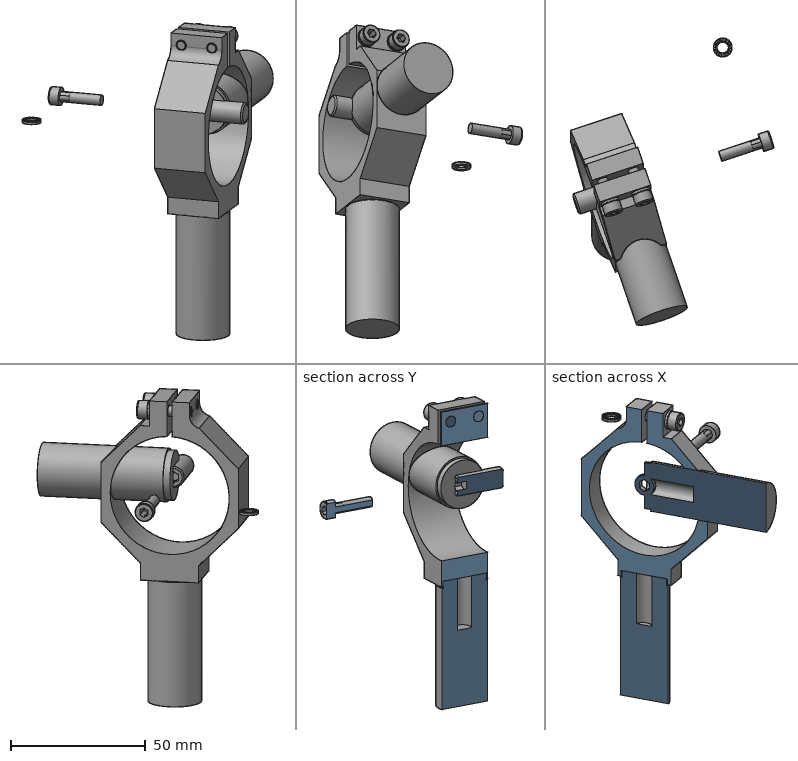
import cadquery as cq
import math


post_diameter = 20.0
post_length = 50.1
spigot_diameter = 18.7
spigot_length = 2.6
post_hole_diameter = 6.6
post_hole_depth = 20.0

ring_width = post_diameter
bore_diameter = 45.0
bore_center_z = -5.4
octagon_half_width = 26.0
side_flat_half_height = 11.4
foot_width = 22.0
foot_bottom_z = -38.2
top_z = 30.4
slot_width = 2.0
rear_ear_y = 7.7
front_ear_y = -7.5
shoulder_z = 20.8
ear_round_top_z = 25.6
recess_diameter = 19.0
foot_gap = 0.3

passage_diameter = 19.8

shank_diameter = 4.0
shank_length = 16.0
head_diameter = 6.9
head_height = 4.0
head_chamfer_length = 0.5
head_chamfer_depth = 0.2
cap_hex_flats = 3.0
cap_hex_depth = 7.6

washer_outer_diameter = 7.0
washer_inner_diameter = 4.2
washer_thickness = 1.0
washer_groove_count = 16
washer_groove_width = 0.5
washer_groove_depth = 0.2

clamp_screw_spacing = 12.0
clamp_screw_z = 26.0
clearance_hole_diameter = 4.3
thread_hole_diameter = 3.3

stud_diameter = 8.0
stud_length = 20.0
stud_end_x = 16.8
stud_chamfer = 0.6
stud_hex_flats = 4.0
stud_hex_depth = 4.0

loose_screw_head_x = -59.7
loose_washer_position = (-53.8, -38.5, 0.1)

post_shoulder_z = foot_bottom_z - foot_gap
post_tip_z = post_shoulder_z + spigot_length
head_top_y = rear_ear_y + washer_thickness + head_height
clamp_screw_places = [-clamp_screw_spacing / 2, clamp_screw_spacing / 2]



def cylinder(diameter, length, start_z=0.0):
    """Upright cylinder centred on the Z axis."""
    return cq.Workplane("XY").workplane(offset=start_z).circle(diameter / 2).extrude(length)


def hex_socket(flats, depth):
    """Hexagonal prism with the given width across flats."""
    across_corners = flats / math.cos(math.pi / 6)
    return cq.Workplane("XY").polygon(6, across_corners).extrude(depth)


def turn_to_right(body):
    """Turn a body from +Z to +X."""
    return body.rotate((0, 0, 0), (0, 1, 0), 90)


def turn_to_rear(body):
    """Turn a body from +Z to +Y."""
    return body.rotate((0, 0, 0), (1, 0, 0), -90)


def turn_to_front(body):
    """Turn a body from +Z to -Y."""
    return body.rotate((0, 0, 0), (1, 0, 0), 90)


def turn_down(body):
    """Turn a body from +Z to -Z."""
    return body.rotate((0, 0, 0), (1, 0, 0), 180)



def make_post():
    """Post along +Z with the spigot end face at the origin."""
    spigot = cylinder(spigot_diameter, spigot_length)
    shaft = cylinder(post_diameter, post_length - spigot_length, spigot_length)
    return spigot.union(shaft).cut(cylinder(post_hole_diameter, post_hole_depth))


def make_cap_screw():
    """Socket head screw along +Z with the top of its head at the origin."""
    head = cylinder(head_diameter, head_height)
    head = head.faces("<Z").chamfer(head_chamfer_length, head_chamfer_depth)
    shank = cylinder(shank_diameter, shank_length, head_height)
    return head.union(shank).cut(hex_socket(cap_hex_flats, cap_hex_depth))


def make_washer():
    """Locking washer along +Z standing on the origin, with radial grooves across its top."""
    body = cylinder(washer_outer_diameter, washer_thickness)
    body = body.cut(cylinder(washer_inner_diameter, washer_thickness))
    groove_bar = (
        cq.Workplane("XY", origin=(0, 0, washer_thickness - washer_groove_depth))
        .rect(washer_outer_diameter, washer_groove_width)
        .extrude(washer_groove_depth)
    )
    bar_count = washer_groove_count // 2
    for index in range(bar_count):
        body = body.cut(groove_bar.rotate((0, 0, 0), (0, 0, 1), index * 180 / bar_count))
    return body


def make_stud():
    """Headless screw along +Z with its socket end at the origin."""
    stud = cylinder(stud_diameter, stud_length).faces("<Z or >Z").chamfer(stud_chamfer)
    return stud.cut(hex_socket(stud_hex_flats, stud_hex_depth))



def ring_blank():
    """Octagon with foot and ears, outlined in the YZ plane and extruded across the width."""
    slope_sum = octagon_half_width + side_flat_half_height
    foot_y = foot_width / 2
    foot_top_z = bore_center_z - (slope_sum - foot_y)
    flat_top_z = bore_center_z + side_flat_half_height
    flat_bottom_z = bore_center_z - side_flat_half_height
    shoulder_y = slope_sum - (shoulder_z - bore_center_z)
    return (
        cq.Workplane("YZ", origin=(-ring_width / 2, 0, 0))
        .moveTo(-foot_y, foot_bottom_z)
        .lineTo(foot_y, foot_bottom_z)
        .lineTo(foot_y, foot_top_z)
        .lineTo(octagon_half_width, flat_bottom_z)
        .lineTo(octagon_half_width, flat_top_z)
        .lineTo(shoulder_y, shoulder_z)
        .lineTo(rear_ear_y, shoulder_z)
        .lineTo(rear_ear_y, top_z)
        .lineTo(front_ear_y, top_z)
        .lineTo(front_ear_y, ear_round_top_z)
        .tangentArcPoint((-shoulder_y, shoulder_z), relative=False)
        .lineTo(-octagon_half_width, flat_top_z)
        .lineTo(-octagon_half_width, flat_bottom_z)
        .lineTo(-foot_y, foot_top_z)
        .close()
        .extrude(ring_width)
    )


def cut_bore_and_slot(ring):
    """Cut the round bore and the slot that parts the two ears."""
    bore_start = (-ring_width / 2, 0, bore_center_z)
    bore = cq.Workplane("YZ", origin=bore_start).circle(bore_diameter / 2).extrude(ring_width)
    slot_height = top_z - bore_center_z
    slot = cq.Workplane("XY", origin=(0, 0, bore_center_z)).rect(ring_width, slot_width).extrude(slot_height)
    return ring.cut(bore).cut(slot)


def cut_clamp_holes(ring, screws):
    """Drill both ears and fit the front holes to the screws."""
    clearance = turn_to_rear(cylinder(clearance_hole_diameter, rear_ear_y))
    thread = turn_to_front(cylinder(thread_hole_diameter, -front_ear_y))
    round_opening = turn_to_front(cylinder(thread_hole_diameter, thread_hole_diameter, -front_ear_y))
    for x, screw in zip(clamp_screw_places, screws):
        for hole in (clearance, thread, round_opening):
            ring = ring.cut(hole.translate((x, 0, clamp_screw_z)))
        ring = ring.cut(screw)
    return ring


def make_ring(screws):
    ring = cut_bore_and_slot(ring_blank())
    ring = cut_clamp_holes(ring, screws)
    recess = cylinder(recess_diameter, post_tip_z - foot_bottom_z, foot_bottom_z)
    passage = turn_to_rear(cylinder(passage_diameter, post_length))
    return ring.cut(recess).cut(passage)



clamp_screws = [
    turn_to_front(make_cap_screw()).translate((x, head_top_y, clamp_screw_z)) for x in clamp_screw_places
]
clamp_washers = [
    turn_to_rear(make_washer()).translate((x, rear_ear_y, clamp_screw_z)) for x in clamp_screw_places
]
clamp_ring = make_ring(clamp_screws)

upright_post = turn_down(make_post()).translate((0, 0, post_tip_z))

stud = turn_to_right(make_stud()).translate((stud_end_x - stud_length, 0, 0))
cross_post = turn_to_rear(make_post()).cut(clamp_ring).union(stud)

loose_screw = turn_to_right(make_cap_screw()).translate((loose_screw_head_x, 0, 0))
loose_washer = make_washer().translate(loose_washer_position)

result = cq.Compound.makeCompound([
    clamp_ring.val(),
    upright_post.val(),
    cross_post.val(),
    loose_screw.val(),
    loose_washer.val(),
    *[screw.val() for screw in clamp_screws],
    *[washer.val() for washer in clamp_washers],
])